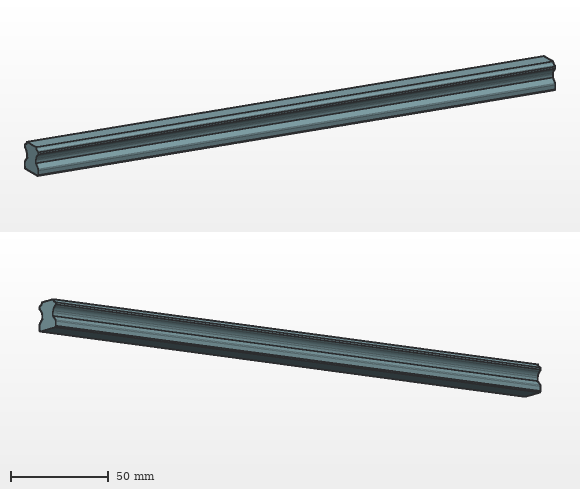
import cadquery as cq
import math

length = 300.0
width = 15.0
height = 15.0
half_width = width / 2

foot_chamfer = 0.7
shoulder_corner_height = 3.64
shoulder_round_radius = 1.0
shoulder_angle = math.radians(45)

waist_half_width = 4.86
waist_bottom = shoulder_corner_height + (half_width - waist_half_width) * math.tan(shoulder_angle)
waist_top = 8.07

raceway_inner_x = 5.07
raceway_outer_x = 6.57
lower_raceway_bottom = 9.03
lower_raceway_top = 11.02
lip_bottom = 11.85
lip_top = 12.9
upper_raceway_bottom = 13.35
lower_raceway_depth = 0.18
upper_raceway_depth = 0.34


def add_shoulder_round(outline):
    """Run up the side of the foot and round its corner onto the sloping shoulder."""
    turn = shoulder_angle
    tangent_length = shoulder_round_radius * math.tan(turn / 2)
    centre_x = half_width - shoulder_round_radius
    centre_z = shoulder_corner_height - tangent_length

    def point_on_round(angle):
        return (
            centre_x + shoulder_round_radius * math.cos(angle),
            centre_z + shoulder_round_radius * math.sin(angle),
        )

    return (
        outline
        .lineTo(*point_on_round(0))
        .threePointArc(point_on_round(turn / 2), point_on_round(turn))
    )


def add_raceway(outline, start, end, depth):
    """Run to start, then along a shallow arc to end that sinks into the head by depth."""
    chord_x = end[0] - start[0]
    chord_z = end[1] - start[1]
    chord = math.hypot(chord_x, chord_z)
    deepest = (
        (start[0] + end[0]) / 2 - depth * chord_z / chord,
        (start[1] + end[1]) / 2 + depth * chord_x / chord,
    )
    return outline.lineTo(*start).threePointArc(deepest, end)


def half_rail():
    """The +X half of the rail, centred along Y."""
    outline = (
        cq.Workplane("XZ")
        .lineTo(half_width - foot_chamfer, 0)
        .lineTo(half_width, foot_chamfer)
    )
    outline = add_shoulder_round(outline)
    outline = (
        outline
        .lineTo(waist_half_width, waist_bottom)
        .lineTo(waist_half_width, waist_top)
    )
    outline = add_raceway(
        outline,
        (raceway_inner_x, lower_raceway_bottom),
        (raceway_outer_x, lower_raceway_top),
        lower_raceway_depth,
    )
    outline = outline.lineTo(half_width, lip_bottom).lineTo(half_width, lip_top)
    outline = add_raceway(
        outline,
        (raceway_outer_x, upper_raceway_bottom),
        (raceway_inner_x, height),
        upper_raceway_depth,
    )
    return outline.lineTo(0, height).close().extrude(length / 2, both=True)


right_half = half_rail()
result = right_half.union(right_half.mirror("YZ")).clean()